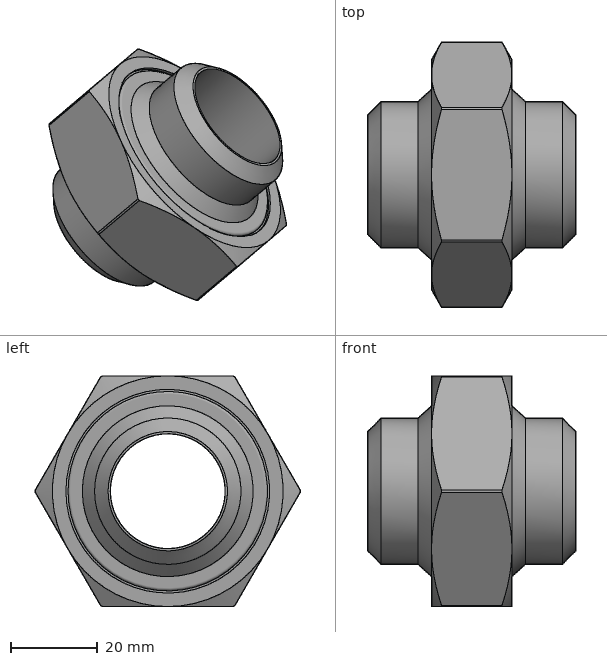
import cadquery as cq
import math

TOTAL_LENGTH = 48.0
BORE_RADIUS = 13.2
PIPE_RADIUS = 16.85

BEVEL_ROOT_RADIUS = 13.75
BEVEL_LENGTH = PIPE_RADIUS - BEVEL_ROOT_RADIUS

NUT_WIDTH = 18.5
NUT_ACROSS_FLATS = 53.1
NUT_CORNER_RADIUS = 30.5
NUT_CHAMFER_ANGLE = 30.0

COLLAR_RADIUS = 22.95
COLLAR_EDGE_ROUND = 0.6
CONE_END_RADIUS = 19.65
CONE_LENGTH = 3.1

GAP_RADIUS = 23.45

BORE_GROOVE_START = -9.35
BORE_GROOVE_DEPTH = 1.0

half_length = TOTAL_LENGTH / 2
half_nut = NUT_WIDTH / 2
gap_floor = half_nut - COLLAR_EDGE_ROUND


def revolve_about_x(points):
    """Revolve a closed outline of (x, radius) points about the X axis."""
    return cq.Workplane("XY").polyline(points).close().revolve(360, (0, 0, 0), (1, 0, 0))


def mirrored_outline(right_half):
    """Complete an (x, radius) outline with its mirror image in the plane x = 0."""
    return right_half + [(-x, radius) for x, radius in reversed(right_half)]


def make_nut():
    """Hexagon with flats facing +Z and -Z, trimmed at its corners and chamfered on both faces."""
    across_corners = NUT_ACROSS_FLATS / math.cos(math.pi / 6)
    hexagon = (
        cq.Workplane("YZ")
        .polygon(6, across_corners)
        .extrude(half_nut, both=True)
    )
    face_radius = NUT_ACROSS_FLATS / 2
    chamfer_depth = (NUT_CORNER_RADIUS - face_radius) * math.tan(math.radians(NUT_CHAMFER_ANGLE))
    envelope = revolve_about_x(mirrored_outline([
        (half_nut, 0),
        (half_nut, face_radius),
        (half_nut - chamfer_depth, NUT_CORNER_RADIUS),
    ]))
    return hexagon.intersect(envelope)


def make_nut_recess():
    """Room on both nut faces for the collar and the gap around it."""
    right = revolve_about_x([
        (half_nut, 0),
        (half_nut, GAP_RADIUS),
        (gap_floor, GAP_RADIUS),
        (gap_floor, 0),
    ])
    return right.union(right.mirror("YZ"))


def make_pipe():
    """Pipe ends with weld bevels, widening through the cones to the rounded collar."""
    pipe = revolve_about_x(mirrored_outline([
        (half_length, 0),
        (half_length, BEVEL_ROOT_RADIUS),
        (half_length - BEVEL_LENGTH, PIPE_RADIUS),
        (half_nut + CONE_LENGTH, PIPE_RADIUS),
        (half_nut, CONE_END_RADIUS),
        (half_nut, COLLAR_RADIUS),
    ]))
    collar_rims = cq.selectors.RadiusNthSelector(-1)
    return pipe.edges(collar_rims).fillet(COLLAR_EDGE_ROUND)


def make_bore():
    """Through hole along the pipe axis."""
    return cq.Workplane("YZ").circle(BORE_RADIUS).extrude(half_length, both=True)


def make_bore_groove():
    """Ring-shaped groove that runs back to the bore radius over a length equal to its depth."""
    return revolve_about_x([
        (BORE_GROOVE_START, 0),
        (BORE_GROOVE_START, BORE_RADIUS + BORE_GROOVE_DEPTH),
        (BORE_GROOVE_START + BORE_GROOVE_DEPTH, BORE_RADIUS),
        (BORE_GROOVE_START + BORE_GROOVE_DEPTH, 0),
    ])


body = make_nut().cut(make_nut_recess()).union(make_pipe())
result = body.cut(make_bore()).cut(make_bore_groove())